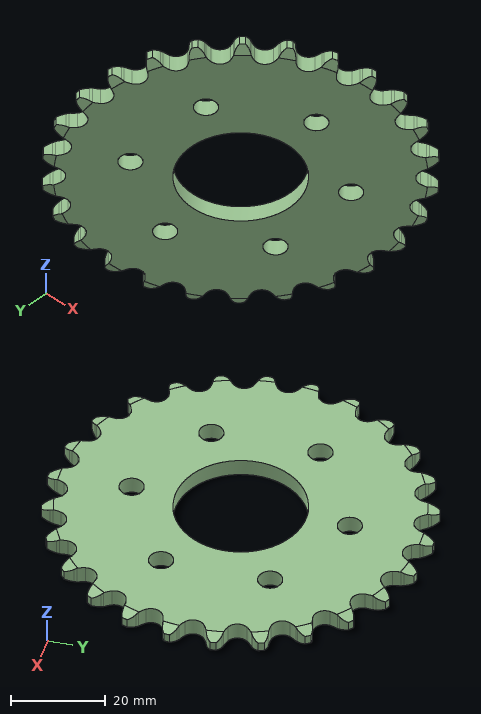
import cadquery as cq
import math

thickness = 4.0
bore_diameter = 28.6
bolt_hole_diameter = 5.3
bolt_circle_radius = 23.8
bolt_count = 6

tooth_count = 26
outer_radius = 42.1
pitch_diameter = 79.0
roller_diameter = 5.05
seat_clearance = 0.075

bevel_angle = 20
rim_margin = 0.8

pitch_radius = pitch_diameter / 2
half_pitch_angle = 180 / tooth_count


def point_from(start, distance, direction):
    """Point at a distance from the start, along a direction in degrees from +X."""
    angle = math.radians(direction)
    return (start[0] + distance * math.cos(angle), start[1] + distance * math.sin(angle))


def turned(point, degrees):
    """Point turned about the sprocket axis."""
    x, y = point
    angle = math.radians(degrees)
    return (x * math.cos(angle) - y * math.sin(angle), x * math.sin(angle) + y * math.cos(angle))


def mirrored(point):
    """Point on the other side of the tooth on +Y."""
    return (-point[0], point[1])


seat_radius = (1.005 * roller_diameter + seat_clearance) / 2
seating_angle = 35 + 60 / tooth_count
working_sweep = 18 - 56 / tooth_count
working_centre_distance = 0.8 * roller_diameter
working_radius = seat_radius + working_centre_distance
topping_centre_distance = 1.4 * roller_diameter

roller_centre = turned((0, pitch_radius), -half_pitch_angle)
seat_bottom = turned((0, pitch_radius - seat_radius), -half_pitch_angle)
seat_end_direction = 180 + seating_angle - half_pitch_angle
seat_end = point_from(roller_centre, seat_radius, seat_end_direction)

flank_normal = seat_end_direction - working_sweep
working_centre = point_from(roller_centre, -working_centre_distance, seat_end_direction)
working_middle = point_from(working_centre, working_radius, seat_end_direction - working_sweep / 2)
working_end = point_from(working_centre, working_radius, flank_normal)

topping_centre = (roller_centre[0] - topping_centre_distance, roller_centre[1])
flank_direction = flank_normal - 90
flank_x, flank_y = point_from((0, 0), 1, flank_direction)
flank_length = (
    (topping_centre[0] - working_end[0]) * flank_x
    + (topping_centre[1] - working_end[1]) * flank_y
)
flank_end = point_from(working_end, flank_length, flank_direction)

topping_radius = math.dist(topping_centre, flank_end)
topping_start = flank_normal - 180
topping_stop = math.degrees(math.asin((outer_radius - topping_centre[1]) / topping_radius))
topping_middle = point_from(topping_centre, topping_radius, (topping_start + topping_stop) / 2)
tip_corner = point_from(topping_centre, topping_radius, topping_stop)


def add_tooth_and_gap(outline, angle):
    """Continue the outline over one tooth tip and the gap that follows it clockwise."""
    def right(point):
        return turned(point, angle)

    def next_left(point):
        return turned(mirrored(point), angle - 2 * half_pitch_angle)

    return (
        outline
        .lineTo(*right(tip_corner))
        .threePointArc(right(topping_middle), right(flank_end))
        .lineTo(*right(working_end))
        .threePointArc(right(working_middle), right(seat_end))
        .threePointArc(right(seat_bottom), next_left(seat_end))
        .threePointArc(next_left(working_middle), next_left(working_end))
        .lineTo(*next_left(flank_end))
        .threePointArc(next_left(topping_middle), next_left(tip_corner))
    )


def toothed_blank():
    """Plate with square-edged teeth, centred on the XY plane."""
    outline = cq.Workplane("XY").workplane(offset=-thickness / 2).moveTo(*mirrored(tip_corner))
    for tooth in range(tooth_count):
        outline = add_tooth_and_gap(outline, -2 * half_pitch_angle * tooth)
    return outline.close().extrude(thickness)


def bevelled_disc():
    """Disc with a conical bevel on both faces, starting at the pitch circle."""
    half_thickness = thickness / 2
    rim_radius = outer_radius + rim_margin
    bevel_drop = (rim_radius - pitch_radius) * math.tan(math.radians(bevel_angle))
    half_rim = half_thickness - bevel_drop
    return (
        cq.Workplane("XZ")
        .moveTo(0, -half_thickness)
        .lineTo(pitch_radius, -half_thickness)
        .lineTo(rim_radius, -half_rim)
        .lineTo(rim_radius, half_rim)
        .lineTo(pitch_radius, half_thickness)
        .lineTo(0, half_thickness)
        .close()
        .revolve(360, (0, 0), (0, 1))
    )


def bore():
    """Cutter for the central hole."""
    return cq.Workplane("XY").circle(bore_diameter / 2).extrude(thickness, both=True)


def bolt_holes():
    """Cutters for the bolt circle, with one hole on +Y."""
    return (
        cq.Workplane("XY")
        .polarArray(bolt_circle_radius, 90, 360, bolt_count)
        .circle(bolt_hole_diameter / 2)
        .extrude(thickness, both=True)
    )


result = toothed_blank().intersect(bevelled_disc()).cut(bore()).cut(bolt_holes())